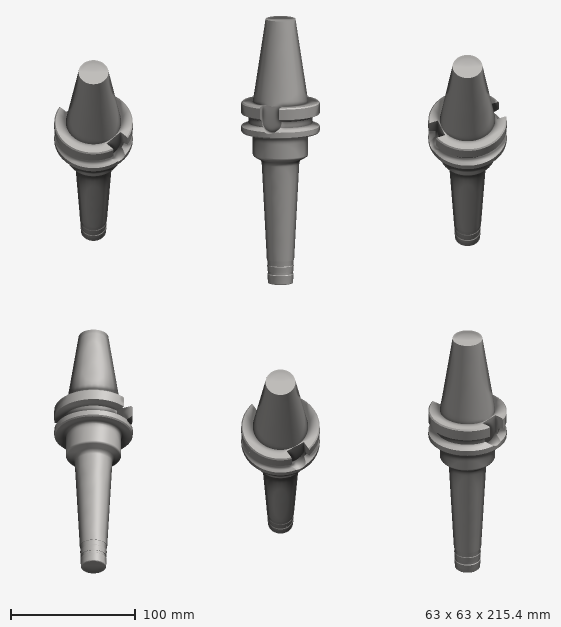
import cadquery as cq
import math


TAPER_TOP_Z = 65.4
NOSE_LENGTH = 150.0
TIP_Z = -NOSE_LENGTH

SHANK_BASE_RADIUS = 44.5 / 2
SHANK_TOP_RADIUS = 24.0 / 2

FLANGE_RADIUS = 63.0 / 2
FLANGE_TOP_Z = -2.0
FLANGE_BOTTOM_Z = -27.0
FLANGE_CHAMFER = 1.0
GROOVE_FLOOR_RADIUS = 51.5 / 2
GROOVE_MIDDLE_Z = -16.6
GROOVE_MOUTH_HEIGHT = 10.2
GROOVE_FLOOR_HEIGHT = 5.0

SLOT_WIDTH = 16.1
SLOT_FLOOR_X = 22.5
SLOT_BOTTOM_Z = -23.0

COLLAR_RADIUS = SHANK_BASE_RADIUS
COLLAR_TOP_FILLET = 2.0
COLLAR_BOTTOM_Z = -44.8
SHOULDER_ANGLE = math.radians(60)
SHOULDER_OUTER_FILLET = 2.0
SHOULDER_INNER_FILLET = 4.0

NECK_TOP_RADIUS = 15.1
NECK_ANGLE = math.radians(3)

NECK_END_HEIGHT = 19.3
UPPER_RING_HEIGHT = 14.5
UPPER_RING_END_HEIGHT = 10.0
LOWER_RING_HEIGHT = 7.4
RING_CHAMFER_HEIGHT = 0.5
UPPER_RING_RADIUS = 10.7
UPPER_WAIST_RADIUS = 10.4
LOWER_RING_RADIUS = 10.5
LOWER_WAIST_RADIUS = 10.0
TIP_RADIUS = 10.1
TIP_CHAMFER = 0.5


def add_shank(outline):
    """Top face and taper down to the flange."""
    return (
        outline.lineTo(SHANK_TOP_RADIUS, TAPER_TOP_Z)
        .lineTo(SHANK_BASE_RADIUS, FLANGE_TOP_Z)
    )


def add_flange(outline):
    """Chamfered flange with a trapezoidal groove around it."""
    half_mouth = GROOVE_MOUTH_HEIGHT / 2
    half_floor = GROOVE_FLOOR_HEIGHT / 2
    return (
        outline.lineTo(FLANGE_RADIUS - FLANGE_CHAMFER, FLANGE_TOP_Z)
        .lineTo(FLANGE_RADIUS, FLANGE_TOP_Z - FLANGE_CHAMFER)
        .lineTo(FLANGE_RADIUS, GROOVE_MIDDLE_Z + half_mouth)
        .lineTo(GROOVE_FLOOR_RADIUS, GROOVE_MIDDLE_Z + half_floor)
        .lineTo(GROOVE_FLOOR_RADIUS, GROOVE_MIDDLE_Z - half_floor)
        .lineTo(FLANGE_RADIUS, GROOVE_MIDDLE_Z - half_mouth)
        .lineTo(FLANGE_RADIUS, FLANGE_BOTTOM_Z + FLANGE_CHAMFER)
        .lineTo(FLANGE_RADIUS - FLANGE_CHAMFER, FLANGE_BOTTOM_Z)
    )


def add_collar(outline):
    """Cylinder under the flange, running over a rounded conical shoulder into the neck."""
    outer_drop = SHOULDER_OUTER_FILLET * math.sin(SHOULDER_ANGLE)
    outer_inset = SHOULDER_OUTER_FILLET * (1 - math.cos(SHOULDER_ANGLE))
    inner_drop = SHOULDER_INNER_FILLET * math.sin(SHOULDER_ANGLE)
    inner_inset = SHOULDER_INNER_FILLET * (1 - math.cos(SHOULDER_ANGLE))

    cone_top_radius = COLLAR_RADIUS - outer_inset
    cone_bottom_radius = NECK_TOP_RADIUS + inner_inset
    cone_drop = (cone_top_radius - cone_bottom_radius) / math.tan(SHOULDER_ANGLE)
    cone_top_z = COLLAR_BOTTOM_Z - outer_drop
    cone_bottom_z = cone_top_z - cone_drop
    neck_top_z = cone_bottom_z - inner_drop

    return (
        outline.lineTo(COLLAR_RADIUS + COLLAR_TOP_FILLET, FLANGE_BOTTOM_Z)
        .radiusArc((COLLAR_RADIUS, FLANGE_BOTTOM_Z - COLLAR_TOP_FILLET), -COLLAR_TOP_FILLET)
        .lineTo(COLLAR_RADIUS, COLLAR_BOTTOM_Z)
        .radiusArc((cone_top_radius, cone_top_z), SHOULDER_OUTER_FILLET)
        .lineTo(cone_bottom_radius, cone_bottom_z)
        .radiusArc((NECK_TOP_RADIUS, neck_top_z), -SHOULDER_INNER_FILLET)
    ), neck_top_z


def add_neck_and_tip(outline, neck_top_z):
    """Slightly tapered neck ending in a stepped tip with two barbed rings."""
    neck_end_z = TIP_Z + NECK_END_HEIGHT
    neck_end_radius = NECK_TOP_RADIUS - (neck_top_z - neck_end_z) * math.tan(NECK_ANGLE)
    upper_ring_z = TIP_Z + UPPER_RING_HEIGHT
    upper_ring_end_z = TIP_Z + UPPER_RING_END_HEIGHT
    lower_ring_z = TIP_Z + LOWER_RING_HEIGHT
    return (
        outline.lineTo(neck_end_radius, neck_end_z)
        .lineTo(UPPER_RING_RADIUS, neck_end_z)
        .lineTo(UPPER_WAIST_RADIUS, upper_ring_z + RING_CHAMFER_HEIGHT)
        .lineTo(UPPER_RING_RADIUS, upper_ring_z)
        .lineTo(UPPER_WAIST_RADIUS, upper_ring_end_z)
        .lineTo(LOWER_WAIST_RADIUS, upper_ring_end_z)
        .lineTo(LOWER_WAIST_RADIUS, lower_ring_z + RING_CHAMFER_HEIGHT)
        .lineTo(LOWER_RING_RADIUS, lower_ring_z)
        .lineTo(TIP_RADIUS, TIP_Z + TIP_CHAMFER)
        .lineTo(TIP_RADIUS - TIP_CHAMFER, TIP_Z)
        .lineTo(0, TIP_Z)
    )


def turned_body():
    outline = cq.Workplane("XZ").moveTo(0, TAPER_TOP_Z)
    outline = add_shank(outline)
    outline = add_flange(outline)
    outline, neck_top_z = add_collar(outline)
    outline = add_neck_and_tip(outline, neck_top_z)
    return outline.close().revolve(360, (0, 0, 0), (0, 1, 0))


def drive_slot(side):
    """Round-ended slot cutter, open at the top; side is +1 or -1 along X."""
    half_width = SLOT_WIDTH / 2
    round_centre_z = SLOT_BOTTOM_Z + half_width
    depth = FLANGE_RADIUS - SLOT_FLOOR_X
    return (
        cq.Workplane("YZ")
        .workplane(offset=side * SLOT_FLOOR_X)
        .moveTo(-half_width, FLANGE_TOP_Z)
        .lineTo(-half_width, round_centre_z)
        .threePointArc((0, SLOT_BOTTOM_Z), (half_width, round_centre_z))
        .lineTo(half_width, FLANGE_TOP_Z)
        .close()
        .extrude(side * depth)
    )


result = turned_body()
for slot_side in (-1, 1):
    result = result.cut(drive_slot(slot_side))